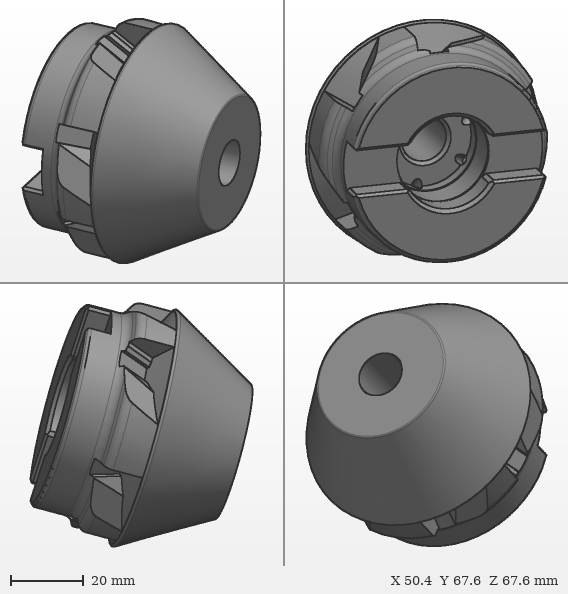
import cadquery as cq
import math


LENGTH = 50.35
HUB_R = 28.9
HUB_FACE_R = 27.75
HUB_ROUND = 1.0
HUB_ROUND_END_X = 1.35
HUB_ROUND_SPAN = 70.0
NECK_X = 9.75
NECK_ARC_R = 3.05
NECK_SLOPE = 60.0
BODY_R = 33.15
RIM_X = 24.9
RIM_R = 33.8
RIM_ROUND = 0.55
CONE_ANGLE = 30.0
NOSE_ROUND = 0.55

BORE_R = 13.4
BORE_DEPTH = 22.3
BORE_CHAMFER = 1.1
RELIEF_R = 13.7
RELIEF_START = 8.1
RELIEF_END = 18.4
SCREW_R = 6.5
SCREW_CHAMFER = 1.0

SLOT_HALF_WIDTH = 6.35
SLOT_DEPTH = 7.0
SLOT_CHAMFER = 0.8

SEAT_TILT = 30.0
SEAT_HEIGHT = 30.3
SEAT_BACK = -2.4
SEAT_FRONT = 2.9
LEDGE_WALL = -5.5
LEDGE_SLOPE_START = -3.85
LEDGE_RISE = 1.4
LEDGE_LIP = 0.9
RAMP_LIP = 1.15
RAMP_ANGLE = 34.0
RAMP_RUN = 8.1
POCKET_END_X = RIM_X - RIM_ROUND
POCKET_END_R = 33.3
POCKET_INNER_R = 20.3
POCKET_OUTER = 40.6
POCKET_REAR_X = 8.1
POCKET_SWEEP = 75.0

GULLET_POINT = (18.4, -10.8, 28.7)
GULLET_FALL = 15.6
GULLET_RISE = 6.3
GULLET_LENGTH = 40.6
GULLET_WIDTH = 27.05
GULLET_BACK = 7.45

SETS = 3
SET_PITCH = 360.0 / SETS
CLOSE_PITCH = 64.5
PLAIN_WALL_ANGLE = 4.5
LEDGED_WALL_ANGLE = 20.0

COOLANT_R = 1.4
COOLANT_TILT = 45.0
COOLANT_DEPTH = 4.75
COOLANT_START = 2.0
COOLANT_RADIUS_LEDGED = 12.65
COOLANT_RADIUS_PLAIN = 13.4
COOLANT_LEAD_LEDGED = 3.0
COOLANT_LEAD_PLAIN = 6.0


def sin(angle):
    return math.sin(math.radians(angle))


def cos(angle):
    return math.cos(math.radians(angle))


def tan(angle):
    return math.tan(math.radians(angle))


def turned(profile):
    """Revolve a closed (x, radius) profile about the X axis."""
    return profile.close().revolve(360, (0, 0, 0), (1, 0, 0))


def turn(solid, angle):
    return solid.rotate((0, 0, 0), (1, 0, 0), angle)


def cone_radius(x):
    tangent_x = RIM_X + RIM_ROUND * sin(CONE_ANGLE)
    tangent_r = RIM_R - RIM_ROUND * (1 - cos(CONE_ANGLE))
    return tangent_r - (x - tangent_x) * tan(CONE_ANGLE)


def hub_round_point(angle):
    """Point on the hub rounding, turned back by angle from its end on the hub."""
    return (HUB_ROUND_END_X - HUB_ROUND * sin(angle), HUB_R - HUB_ROUND * (1 - cos(angle)))


def make_body():
    arc_run = NECK_ARC_R * sin(NECK_SLOPE)
    arc_rise = NECK_ARC_R * (1 - cos(NECK_SLOPE))
    half_run = NECK_ARC_R * sin(NECK_SLOPE / 2)
    half_rise = NECK_ARC_R * (1 - cos(NECK_SLOPE / 2))
    straight_run = (BODY_R - HUB_R - 2 * arc_rise) / tan(NECK_SLOPE)
    body_x = NECK_X + 2 * arc_run + straight_run
    rim_centre_r = RIM_R - RIM_ROUND
    rim_end_x = RIM_X + RIM_ROUND * sin(CONE_ANGLE)
    profile = (
        cq.Workplane("XY")
        .moveTo(0, 0)
        .lineTo(0, HUB_FACE_R)
        .lineTo(*hub_round_point(HUB_ROUND_SPAN))
        .threePointArc(hub_round_point(HUB_ROUND_SPAN / 2), hub_round_point(0))
        .lineTo(NECK_X, HUB_R)
        .threePointArc((NECK_X + half_run, HUB_R + half_rise), (NECK_X + arc_run, HUB_R + arc_rise))
        .lineTo(body_x - arc_run, BODY_R - arc_rise)
        .threePointArc((body_x - half_run, BODY_R - half_rise), (body_x, BODY_R))
        .lineTo(RIM_X - RIM_ROUND, BODY_R)
        .lineTo(RIM_X - RIM_ROUND, rim_centre_r)
        .threePointArc((RIM_X, RIM_R), (rim_end_x, cone_radius(rim_end_x)))
        .lineTo(LENGTH, cone_radius(LENGTH))
        .lineTo(LENGTH, 0)
    )
    return turned(profile).faces(">X").edges().fillet(NOSE_ROUND)


def make_bore():
    screw_chamfer_end = BORE_DEPTH + SCREW_CHAMFER
    profile = cq.Workplane("XY").polyline([
        (0, 0),
        (0, BORE_R + BORE_CHAMFER),
        (BORE_CHAMFER, BORE_R),
        (RELIEF_START, BORE_R),
        (RELIEF_START, RELIEF_R),
        (RELIEF_END, RELIEF_R),
        (RELIEF_END, BORE_R),
        (BORE_DEPTH, BORE_R),
        (BORE_DEPTH, SCREW_R + SCREW_CHAMFER),
        (screw_chamfer_end, SCREW_R),
        (LENGTH, SCREW_R),
        (LENGTH, 0),
    ])
    return turned(profile)


def chord_reach(radius, offset):
    """Distance along a chord from its middle to a circle of the given radius."""
    return math.sqrt(radius**2 - offset**2)


def make_slot():
    chamfered_half_width = SLOT_HALF_WIDTH + SLOT_CHAMFER
    face_bevel = (
        cq.Workplane("XZ")
        .polyline([
            (0, -chamfered_half_width),
            (SLOT_CHAMFER, -SLOT_HALF_WIDTH),
            (SLOT_CHAMFER, SLOT_HALF_WIDTH),
            (0, chamfered_half_width),
        ])
        .close()
        .extrude(RIM_R, both=True)
    )
    hub_corner = chord_reach(HUB_R, chamfered_half_width)
    overshoot = RIM_R - hub_corner
    quarter_outline = [
        (0, 0),
        (0, chamfered_half_width),
        (chord_reach(BORE_R, chamfered_half_width), chamfered_half_width),
        (chord_reach(BORE_R, SLOT_HALF_WIDTH) + SLOT_CHAMFER, SLOT_HALF_WIDTH),
        (hub_corner - SLOT_CHAMFER, SLOT_HALF_WIDTH),
        (RIM_R, chamfered_half_width + overshoot),
        (RIM_R, 0),
    ]
    quarter = cq.Workplane("YZ").polyline(quarter_outline).close().extrude(SLOT_DEPTH)
    half = quarter.union(quarter.mirror("XZ"))
    return half.union(half.mirror("XY")).union(face_bevel)


def pocket_space(wall_angle):
    """Space a pocket may occupy: behind the end cone and ahead of a radial wall.

    The pocket points along +Z and its cutting direction is -Y.
    """
    inner_x = POCKET_END_X - (POCKET_END_R - POCKET_INNER_R) * tan(SEAT_TILT)
    ring = (
        cq.Workplane("XZ")
        .polyline([
            (POCKET_REAR_X, POCKET_INNER_R),
            (inner_x, POCKET_INNER_R),
            (POCKET_END_X, POCKET_END_R),
            (POCKET_END_X, POCKET_OUTER),
            (POCKET_REAR_X, POCKET_OUTER),
        ])
        .close()
        .revolve(POCKET_SWEEP, (0, 0, 0), (1, 0, 0))
    )
    return turn(ring, -wall_angle)


def make_seat(back_outline):
    """Sweep the seat cross-section, from its back outline to its ramp, along the tilt."""
    tilted = cq.Plane(
        origin=(0, 0, 0),
        xDir=(0, -1, 0),
        normal=(-cos(SEAT_TILT), 0, sin(SEAT_TILT)),
    )
    ramp_foot = SEAT_HEIGHT + RAMP_LIP
    ramp_end = SEAT_FRONT + RAMP_RUN
    front_outline = [
        (SEAT_FRONT, SEAT_HEIGHT),
        (SEAT_FRONT, ramp_foot),
        (ramp_end, ramp_foot + RAMP_RUN * tan(RAMP_ANGLE)),
        (ramp_end, 2 * POCKET_OUTER),
    ]
    return (
        cq.Workplane(tilted)
        .polyline(back_outline + front_outline)
        .close()
        .extrude(POCKET_OUTER, both=True)
    )


def make_gullet():
    fall = tan(GULLET_FALL)
    floor = cq.Plane(
        origin=GULLET_POINT,
        xDir=(1, 0, -fall),
        normal=(fall, tan(GULLET_RISE), 1),
    )
    return (
        cq.Workplane(floor)
        .center(0, GULLET_BACK - GULLET_WIDTH / 2)
        .rect(GULLET_LENGTH, GULLET_WIDTH)
        .extrude(POCKET_OUTER)
    )


def make_pocket(back_outline, wall_angle):
    return make_seat(back_outline).union(make_gullet()).intersect(pocket_space(wall_angle))


def make_coolant_hole(radius, lead):
    along = cq.Vector(cos(COOLANT_TILT), 0, sin(COOLANT_TILT))
    start = cq.Vector(BORE_DEPTH, 0, radius) - along * COOLANT_START
    hole = cq.Solid.makeCylinder(COOLANT_R, COOLANT_START + COOLANT_DEPTH, start, along)
    return turn(cq.Workplane(hole), lead)


ledged_back = [
    (LEDGE_WALL, 2 * POCKET_OUTER),
    (LEDGE_WALL, SEAT_HEIGHT + LEDGE_RISE),
    (LEDGE_SLOPE_START, SEAT_HEIGHT + LEDGE_RISE),
    (SEAT_BACK, SEAT_HEIGHT + LEDGE_LIP),
    (SEAT_BACK, SEAT_HEIGHT),
]
plain_back = [
    (LEDGE_WALL, 2 * POCKET_OUTER),
    (LEDGE_WALL, SEAT_HEIGHT),
]

ledged_pocket = make_pocket(ledged_back, LEDGED_WALL_ANGLE)
plain_pocket = make_pocket(plain_back, PLAIN_WALL_ANGLE)
ledged_hole = make_coolant_hole(COOLANT_RADIUS_LEDGED, COOLANT_LEAD_LEDGED)
plain_hole = make_coolant_hole(COOLANT_RADIUS_PLAIN, COOLANT_LEAD_PLAIN)

result = make_body().cut(make_bore()).cut(make_slot())
for index in range(SETS):
    ledged_angle = index * SET_PITCH
    plain_angle = ledged_angle + CLOSE_PITCH
    result = result.cut(turn(ledged_pocket, ledged_angle)).cut(turn(plain_pocket, plain_angle))
    result = result.cut(turn(ledged_hole, ledged_angle)).cut(turn(plain_hole, plain_angle))